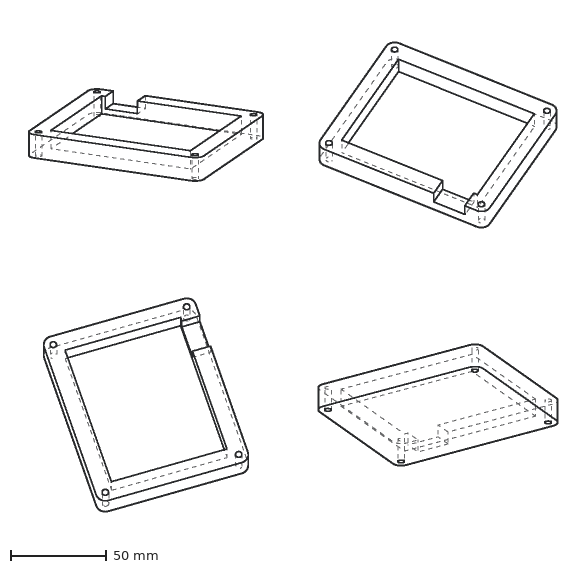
import cadquery as cq

length = 100.8
width = 83.7
height = 13.0
corner_radius = 5.0

wall = 10.0
floor_thickness = 3.0

notch_offset = 12.2
notch_width = 18.5
notch_depth = 7.0

hole_diameter = 3.4
hole_inset = corner_radius


def make_block():
    block = cq.Workplane("XY").rect(length, width).extrude(height)
    return block.edges("|Z").fillet(corner_radius)


def make_pocket():
    return (
        cq.Workplane("XY", origin=(0, 0, floor_thickness))
        .rect(length - 2 * wall, width - 2 * wall)
        .extrude(height - floor_thickness)
    )


def make_notch():
    corner = (-length / 2 + notch_offset, width / 2 - wall, height - notch_depth)
    return cq.Workplane("XY").box(notch_width, wall, notch_depth, centered=False).translate(corner)


def make_holes():
    return (
        cq.Workplane("XY")
        .rect(length - 2 * hole_inset, width - 2 * hole_inset, forConstruction=True)
        .vertices()
        .circle(hole_diameter / 2)
        .extrude(height)
    )


result = make_block().cut(make_pocket()).cut(make_notch()).cut(make_holes())